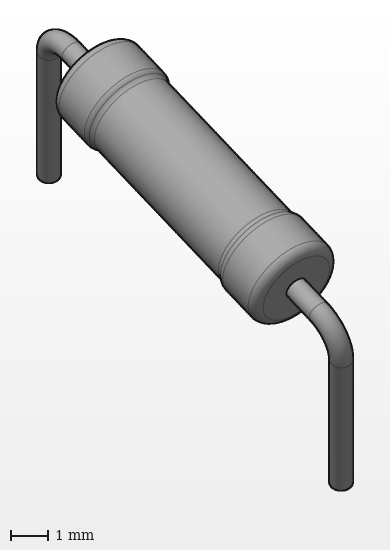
import cadquery as cq
import math


overall_length = 13.65
overall_height = 7.8
body_length = 9.0
cap_diameter = 2.8
barrel_diameter = 2.61
cap_straight_end = 1.42
rounding_radius = 0.29
lead_diameter = 0.65
bend_radius = 1.0

cap_radius = cap_diameter / 2
barrel_radius = barrel_diameter / 2
half_body = body_length / 2
lead_x = (overall_length - lead_diameter) / 2
lead_tip_z = cap_radius - overall_height

half_step = (cap_radius - barrel_radius) / 2
shoulder_angle = math.acos(1 - half_step / rounding_radius)
half_shoulder = rounding_radius * math.sin(shoulder_angle)
shoulder_start_x = half_body - cap_straight_end
shoulder_middle_x = shoulder_start_x - half_shoulder
barrel_end_x = shoulder_middle_x - half_shoulder


def make_barrel():
    """Cylinder between the two shoulders."""
    start = cq.Workplane("YZ").workplane(offset=-barrel_end_x)
    return start.circle(barrel_radius).extrude(2 * barrel_end_x)


def make_cap():
    """Revolve the +X end cap: shoulder, straight stretch and rounded outer edge."""
    profile = (
        cq.Workplane("XZ")
        .moveTo(half_body, 0)
        .lineTo(barrel_end_x, 0)
        .lineTo(barrel_end_x, barrel_radius)
        .radiusArc((shoulder_middle_x, barrel_radius + half_step), -rounding_radius)
        .tangentArcPoint((shoulder_start_x, cap_radius), relative=False)
        .lineTo(half_body - rounding_radius, cap_radius)
        .tangentArcPoint((half_body, cap_radius - rounding_radius), relative=False)
        .close()
    )
    return profile.revolve(360, (0, 0, 0), (1, 0, 0))


def make_lead():
    """Sweep the +X lead from inside the end cap outward, round the bend and down."""
    path = (
        cq.Workplane("XZ")
        .moveTo(shoulder_start_x, 0)
        .lineTo(lead_x - bend_radius, 0)
        .tangentArcPoint((lead_x, -bend_radius), relative=False)
        .lineTo(lead_x, lead_tip_z)
    )
    start = cq.Workplane("YZ").workplane(offset=shoulder_start_x)
    return start.circle(lead_diameter / 2).sweep(path)


end = make_cap().union(make_lead())
result = make_barrel().union(end).union(end.mirror("YZ"))